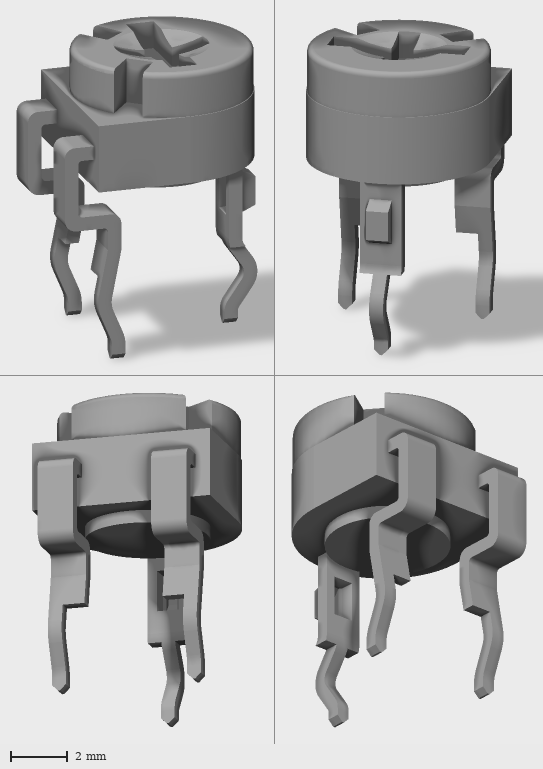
import cadquery as cq
import math


housing_width = 6.56
housing_radius = housing_width / 2
housing_front = -3.4
housing_bottom = 6.5
housing_top = 8.97
boss_diameter = 4.44
boss_height = 0.46
boss_y = -0.16

overall_height = 10.6
rotor_diameter = 6.49
rotor_height = overall_height - housing_top
rotor_rim_radius = 0.2
bowl_diameter = 3.39
bowl_depth = 0.34
slot_depth = 1.0
long_slot_length = 4.98
long_slot_width = 1.03
short_slot_width = 0.8
notch_corners = [(1.74, -0.88), (3.86, -2.34), (3.15, -3.28), (1.07, -1.65)]

sheet = 0.5
embed = 0.21
pin_width = 0.51
tip_chamfer = 0.21
shoulder_z = 3.02
front_leg_outer_x = 2.75
front_leg_width = 1.3
front_leg_reach = -4.48
rear_leg_width = 1.5
rear_leg_y = 2.5
square_bend = (0.15, 0.36)
foot_bend = (0.15, 0.43)
sharp_bend = (0, 0)

nub_z = 4.94
pocket_z = 4.9
nub_width = 0.81
nub_depth = 0.59
nub_base_height = 1.61
nub_crest_height = 1.07
mouth_size = (nub_width, 1.48)
throat_size = (0.57, 1.31)
hollow_width = 0.41
floor_height = 0.61
nub_wall = 0.3
throat_depth = 0.11


def round_bend(radius):
    """Inner and outer radii of a concentric bend with this inner radius."""
    return (radius, radius + sheet)


def unit(start, end):
    """Unit vector pointing from start to end."""
    length = math.dist(start, end)
    return ((end[0] - start[0]) / length, (end[1] - start[1]) / length)


def rounded_outline(corners):
    """Closed YZ outline through (point, radius) corners, each rounded by its radius."""
    outline = None
    for i, (corner, radius) in enumerate(corners):
        before = unit(corner, corners[i - 1][0])
        after = unit(corner, corners[(i + 1) % len(corners)][0])
        cosine = before[0] * after[0] + before[1] * after[1]
        half_angle = math.acos(cosine) / 2
        setback = radius / math.tan(half_angle)
        start, end = [
            (corner[0] + setback * way[0], corner[1] + setback * way[1]) for way in (before, after)
        ]
        outline = outline.lineTo(*start) if outline else cq.Workplane("YZ").moveTo(*start)
        if radius:
            bulge = radius / math.sin(half_angle) - radius
            bisector = unit((0, 0), (before[0] + after[0], before[1] + after[1]))
            middle = (corner[0] + bulge * bisector[0], corner[1] + bulge * bisector[1])
            outline = outline.threePointArc(middle, end)
    return outline.close()


def bent_strip(path, bends):
    """Side profile of sheet metal following a YZ centreline, one (inner, outer) radius pair per bend."""
    left = []
    right = []
    for i, point in enumerate(path):
        incoming = unit(path[max(i - 1, 0)], path[max(i, 1)])
        outgoing = unit(path[min(i, len(path) - 2)], path[min(i + 1, len(path) - 1)])
        turn = incoming[0] * outgoing[1] - incoming[1] * outgoing[0]
        cosine = incoming[0] * outgoing[0] + incoming[1] * outgoing[1]
        scale = sheet / 2 / (1 + cosine)
        shift_y = -(incoming[1] + outgoing[1]) * scale
        shift_z = (incoming[0] + outgoing[0]) * scale
        inner, outer = bends[i - 1] if 0 < i < len(path) - 1 else (0, 0)
        left_radius, right_radius = (inner, outer) if turn > 0 else (outer, inner)
        left.append(((point[0] + shift_y, point[1] + shift_z), left_radius))
        right.append(((point[0] - shift_y, point[1] - shift_z), right_radius))
    return rounded_outline(left + right[::-1]).extrude(housing_radius, both=True)


def leg_face(left, right, pin_left):
    """Leg seen face on: a wide blank with a narrow pin that ends in a chamfered tip."""
    pin_right = pin_left + pin_width
    height = housing_top - shoulder_z
    blank = (
        cq.Workplane("XZ")
        .rect(right - left, height)
        .extrude(housing_width, both=True)
        .translate(((left + right) / 2, 0, shoulder_z + height / 2))
    )
    pin = (
        cq.Workplane("XZ")
        .moveTo(pin_left, shoulder_z)
        .lineTo(pin_left, tip_chamfer)
        .lineTo(pin_left + tip_chamfer, 0)
        .lineTo(pin_right - tip_chamfer, 0)
        .lineTo(pin_right, tip_chamfer)
        .lineTo(pin_right, shoulder_z)
        .close()
        .extrude(housing_width, both=True)
    )
    return blank.union(pin)


def make_housing():
    block = (
        cq.Workplane("XY", origin=(0, 0, housing_bottom))
        .moveTo(-housing_radius, housing_front)
        .lineTo(housing_radius, housing_front)
        .lineTo(housing_radius, 0)
        .threePointArc((0, housing_radius), (-housing_radius, 0))
        .close()
        .extrude(housing_top - housing_bottom)
    )
    boss = (
        cq.Workplane("XY", origin=(0, boss_y, housing_bottom))
        .circle(boss_diameter / 2)
        .extrude(-boss_height)
    )
    return block.union(boss)


def make_rotor():
    rotor = (
        cq.Workplane("XY", origin=(0, 0, housing_top))
        .circle(rotor_diameter / 2)
        .extrude(rotor_height)
        .faces(">Z")
        .edges()
        .fillet(rotor_rim_radius)
    )
    top = cq.Workplane("XY", origin=(0, 0, overall_height))

    bowl_radius = bowl_diameter / 2
    sphere_radius = (bowl_radius**2 + bowl_depth**2) / (2 * bowl_depth)
    sphere_z = overall_height - bowl_depth + sphere_radius
    rotor = rotor.cut(cq.Workplane("XY").sphere(sphere_radius).translate((0, 0, sphere_z)))

    short_slot = (
        top.rect(short_slot_width, bowl_diameter)
        .extrude(-slot_depth)
        .intersect(top.circle(bowl_radius).extrude(-slot_depth))
    )
    rotor = rotor.cut(top.rect(long_slot_length, long_slot_width).extrude(-slot_depth)).cut(short_slot)

    notch = top.polyline(notch_corners).close().extrude(-rotor_height)
    return rotor.cut(notch).cut(notch.mirror("YZ"))


def make_front_leg():
    arm_y = front_leg_reach + sheet / 2
    arm_z = 7.8
    return_z = 5.19
    drop_y = -2.64
    pin_y = -2.48
    path = [
        (housing_front + embed, arm_z),
        (arm_y, arm_z),
        (arm_y, return_z),
        (drop_y, return_z),
        (drop_y, 4.1),
        (-3.04, 2.06),
        (pin_y, 0.73),
        (pin_y, 0),
    ]
    bends = [square_bend, foot_bend, square_bend, sharp_bend, round_bend(0.85), round_bend(0.85)]
    face = leg_face(-front_leg_outer_x, -front_leg_outer_x + front_leg_width, -front_leg_outer_x)
    return bent_strip(path, bends).intersect(face)


def make_rear_leg():
    path = [
        (rear_leg_y, housing_bottom + embed),
        (rear_leg_y, 3.12),
        (3.38, 1.89),
        (rear_leg_y, 0.64),
        (rear_leg_y, 0),
    ]
    bends = [round_bend(0.46), round_bend(0.46), round_bend(0.21)]
    face = leg_face(-rear_leg_width / 2, rear_leg_width / 2, -pin_width / 2)
    return bent_strip(path, bends).intersect(face)


def tapered_block(start_size, end_size, start_y, depth, center_z):
    """Rectangular block running toward +Y from start_y, tapering between two sizes."""
    return (
        cq.Workplane("XZ", origin=(0, start_y, center_z))
        .rect(*start_size)
        .workplane(offset=-depth)
        .rect(*end_size)
        .loft(ruled=True)
    )


def add_nub(leg):
    leg_front = rear_leg_y - sheet / 2
    leg_back = rear_leg_y + sheet / 2
    throat_y = leg_back - throat_depth
    nub_base = (nub_width, nub_base_height)
    nub_crest = (nub_width, nub_crest_height)
    hollow_start = (hollow_width, throat_size[1])
    hollow_floor = (hollow_width, floor_height)
    hollow_depth = nub_depth - nub_wall
    nub = tapered_block(nub_base, nub_crest, leg_back, nub_depth, nub_z)
    mouth = tapered_block(mouth_size, throat_size, leg_front, throat_y - leg_front, pocket_z)
    throat = tapered_block(throat_size, hollow_start, throat_y, throat_depth, pocket_z)
    hollow = tapered_block(hollow_start, hollow_floor, leg_back, hollow_depth, pocket_z)
    return leg.union(nub).cut(mouth).cut(throat).cut(hollow)


front_leg = make_front_leg()
result = (
    make_housing()
    .union(make_rotor())
    .union(front_leg)
    .union(front_leg.mirror("YZ"))
    .union(add_nub(make_rear_leg()))
)